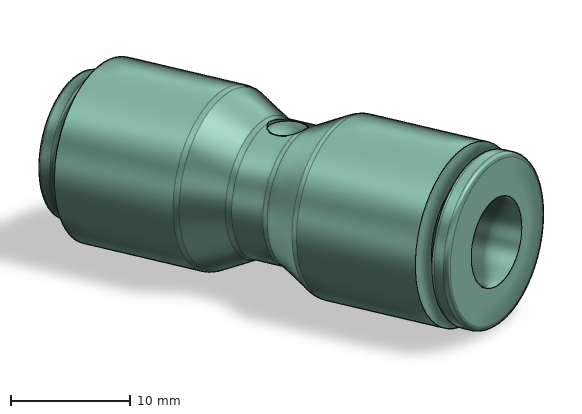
import cadquery as cq

length = 41.5
bore_radius = 4.0

body_radius = 8.05
left_gap = 2.65
right_gap = 3.0
waist_radius = 6.1
waist_half_length = 1.83
shoulder_half_length = 5.85
waist_blend = 1.2

left_stem_radius = 4.6
left_flange_radius = 6.47
left_flange_width = 1.55
left_rounding = 0.3
right_stem_radius = 5.5
right_flange_radius = 7.7
right_flange_width = 1.75
right_rounding = 0.4

spot_radius = 1.75
spot_height = 5.8

left_end = -length / 2
right_end = length / 2
body_left = left_end + left_gap
body_right = right_end - right_gap
body_center = (body_left + body_right) / 2


def cylinder(start, end, radius):
    """Solid cylinder along X between two positions."""
    return cq.Workplane("YZ", origin=(start, 0, 0)).circle(radius).extrude(end - start)


def waisted_body():
    """Revolved body whose two cones blend into a narrow waist."""
    profile = (
        cq.Workplane("XY")
        .moveTo(body_left, 0)
        .lineTo(body_left, body_radius)
        .lineTo(body_center - shoulder_half_length, body_radius)
        .lineTo(body_center - waist_half_length, waist_radius)
        .lineTo(body_center + waist_half_length, waist_radius)
        .lineTo(body_center + shoulder_half_length, body_radius)
        .lineTo(body_right, body_radius)
        .lineTo(body_right, 0)
        .close()
    )
    body = profile.revolve(360, (0, 0, 0), (1, 0, 0))
    cone_edges = cq.selectors.BoxSelector(
        (body_left + left_gap, -length, -length),
        (body_right - right_gap, length, length),
    )
    return body.edges("%CIRCLE").edges(cone_edges).fillet(waist_blend)


def top_spot_cut():
    """Cutter that levels a round spot on top of the waist."""
    return (
        cq.Workplane("XY", origin=(0, 0, spot_height))
        .circle(spot_radius)
        .extrude(body_radius - spot_height)
    )


left_flange = (
    cylinder(left_end, left_end + left_flange_width, left_flange_radius)
    .edges("%CIRCLE").fillet(left_rounding)
)
right_flange = (
    cylinder(right_end - right_flange_width, right_end, right_flange_radius)
    .edges("%CIRCLE").fillet(right_rounding)
)
left_stem = cylinder(left_end + left_flange_width / 2, body_center, left_stem_radius)
right_stem = cylinder(body_center, right_end - right_flange_width / 2, right_stem_radius)

result = (
    waisted_body()
    .cut(top_spot_cut())
    .union(left_stem)
    .union(right_stem)
    .union(left_flange)
    .union(right_flange)
    .cut(cylinder(left_end, right_end, bore_radius))
)